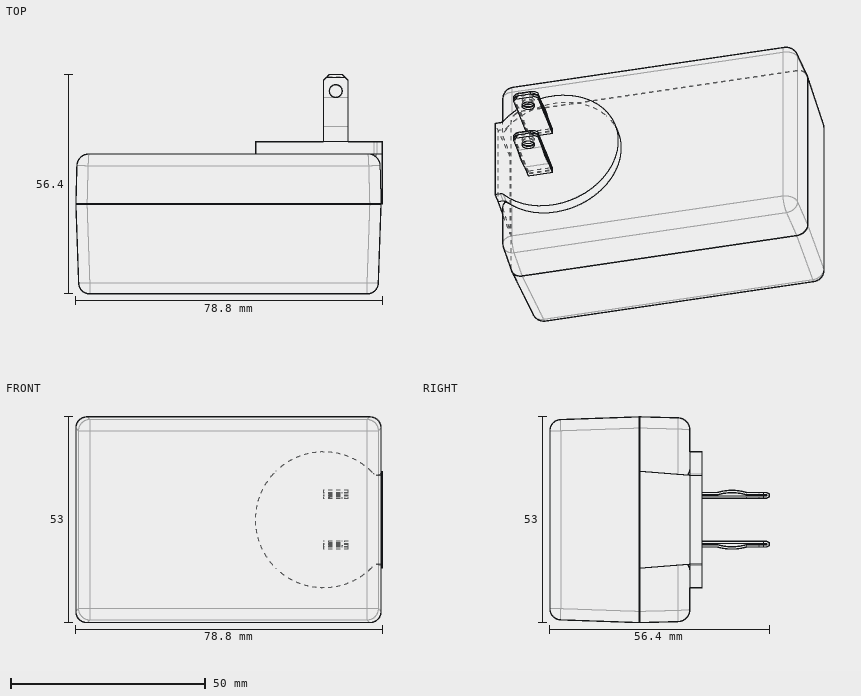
import cadquery as cq
import math


CASE_WIDTH = 78.5
CASE_HEIGHT = 52.95
BACK_DEPTH = 12.85
FRONT_DEPTH = 23.0
SEAM_GAP = 0.15
FRONT_DRAFT = 2.0
BACK_DRAFT = 1.5
SIDE_FILLET = 2.9
FRONT_FILLET = 2.9
BACK_FILLET = 3.15

PLATE_CENTER_X = 24.4
PLATE_RADIUS = 17.5
PLATE_THICKNESS = 3.15
TAB_HALF_HEIGHT = 11.4
TAB_OVERHANG = 0.3
TAB_END_X = CASE_WIDTH / 2 + TAB_OVERHANG
TAB_CORNER_RADIUS = 1.1
PLATE_FACE_Y = BACK_DEPTH + PLATE_THICKNESS

PAD_SEAM_HALF_HEIGHT = 12.45

PRONG_CENTER_X = 27.6
PRONG_SPACING = 12.5
PRONG_LENGTH = 17.25
PRONG_WIDTH = 6.4
PRONG_TIP_Y = PLATE_FACE_Y + PRONG_LENGTH
LEAF_THICKNESS = 0.67
LEAF_GAP = 0.2
FOLD_THICKNESS = 0.7
TIP_CORNER = 1.5
TIP_BEVEL_LENGTH = 0.8
TIP_BEVEL_DEPTH = 0.4
HOLE_DIAMETER = 3.2
HOLE_TO_TIP = 4.25
BULGE_START_Y = PLATE_FACE_Y + 3.95
BULGE_LENGTH = 7.4
BULGE_RISE = 0.55


def drafted_shell(start_y, depth, direction, draft, end_fillet):
    """Solid shell half narrowing away from its seam face; direction is +1 for +Y and -1 for -Y."""
    plane = cq.Plane(origin=(0, start_y, 0), xDir=(1, 0, 0), normal=(0, direction, 0))
    shell = cq.Workplane(plane).rect(CASE_WIDTH, CASE_HEIGHT).extrude(depth, taper=draft)
    end_face = ">Y" if direction > 0 else "<Y"
    seam_face = "<Y" if direction > 0 else ">Y"
    side_edges = shell.edges(f"not({end_face} or {seam_face})")
    return side_edges.fillet(SIDE_FILLET).faces(end_face).edges().fillet(end_fillet)


def plate_prism(start_y, length):
    """Disc-and-tab outline extruded along +Y, with the disc blended into the tab by concave corners."""
    plane = cq.Plane(origin=(0, start_y, 0), xDir=(1, 0, 0), normal=(0, 1, 0))
    blend_rise = TAB_HALF_HEIGHT + TAB_CORNER_RADIUS
    blend_run = math.sqrt((PLATE_RADIUS + TAB_CORNER_RADIUS) ** 2 - blend_rise ** 2)
    blend_end_x = PLATE_CENTER_X + blend_run
    touch_ratio = PLATE_RADIUS / (PLATE_RADIUS + TAB_CORNER_RADIUS)
    touch_x = PLATE_CENTER_X + blend_run * touch_ratio
    touch_z = blend_rise * touch_ratio
    return (
        cq.Workplane(plane)
        .moveTo(TAB_END_X, -TAB_HALF_HEIGHT)
        .lineTo(TAB_END_X, TAB_HALF_HEIGHT)
        .lineTo(blend_end_x, TAB_HALF_HEIGHT)
        .radiusArc((touch_x, touch_z), TAB_CORNER_RADIUS)
        .threePointArc((PLATE_CENTER_X - PLATE_RADIUS, 0), (touch_x, -touch_z))
        .radiusArc((blend_end_x, -TAB_HALF_HEIGHT), TAB_CORNER_RADIUS)
        .close()
        .extrude(length)
    )


def back_pad():
    """Plate outline carried forward to the seam, its +X end flaring in height on the way."""
    flare = (
        cq.Workplane("YZ", origin=(PLATE_CENTER_X, 0, 0))
        .moveTo(0, -PAD_SEAM_HALF_HEIGHT)
        .lineTo(BACK_DEPTH, -TAB_HALF_HEIGHT)
        .lineTo(BACK_DEPTH, TAB_HALF_HEIGHT)
        .lineTo(0, PAD_SEAM_HALF_HEIGHT)
        .close()
        .extrude(TAB_END_X - PLATE_CENTER_X)
    )
    return plate_prism(0, BACK_DEPTH).union(flare)


def prong_blank():
    """Folded strip centered on z = 0: a bulged leaf above the gap and a flat leaf below it."""
    inner_z = LEAF_GAP / 2
    outer_z = inner_z + LEAF_THICKNESS
    tip_z = outer_z - TIP_BEVEL_DEPTH
    bevel_y = PRONG_TIP_Y - TIP_BEVEL_LENGTH
    gap_end_y = PRONG_TIP_Y - FOLD_THICKNESS
    bulge_end_y = BULGE_START_Y + BULGE_LENGTH
    bulge_middle_y = BULGE_START_Y + BULGE_LENGTH / 2
    return (
        cq.Workplane("YZ", origin=(PRONG_CENTER_X, 0, 0))
        .moveTo(PLATE_FACE_Y, -outer_z)
        .lineTo(bevel_y, -outer_z)
        .lineTo(PRONG_TIP_Y, -tip_z)
        .lineTo(PRONG_TIP_Y, tip_z)
        .lineTo(bevel_y, outer_z)
        .lineTo(bulge_end_y, outer_z)
        .threePointArc((bulge_middle_y, outer_z + BULGE_RISE), (BULGE_START_Y, outer_z))
        .lineTo(PLATE_FACE_Y, outer_z)
        .lineTo(PLATE_FACE_Y, inner_z)
        .lineTo(BULGE_START_Y, inner_z)
        .threePointArc((bulge_middle_y, inner_z + BULGE_RISE), (bulge_end_y, inner_z))
        .lineTo(gap_end_y, inner_z)
        .lineTo(gap_end_y, -inner_z)
        .lineTo(PLATE_FACE_Y, -inner_z)
        .close()
        .extrude(PRONG_WIDTH / 2, both=True)
    )


def upward_prong():
    """Prong with its bulge toward +Z, its tip corners cut off and its round hole drilled."""
    prong = prong_blank()
    for side in (-1, 1):
        edge_x = PRONG_CENTER_X + side * PRONG_WIDTH / 2
        corner = (
            cq.Workplane("XY")
            .moveTo(edge_x, PRONG_TIP_Y)
            .lineTo(edge_x - side * TIP_CORNER, PRONG_TIP_Y)
            .lineTo(edge_x, PRONG_TIP_Y - TIP_CORNER)
            .close()
            .extrude(PRONG_SPACING / 2, both=True)
        )
        prong = prong.cut(corner)
    hole = (
        cq.Workplane("XY")
        .center(PRONG_CENTER_X, PRONG_TIP_Y - HOLE_TO_TIP)
        .circle(HOLE_DIAMETER / 2)
        .extrude(PRONG_SPACING / 2, both=True)
    )
    return prong.cut(hole)


front_shell = drafted_shell(-SEAM_GAP, FRONT_DEPTH, -1, FRONT_DRAFT, FRONT_FILLET)

back_shell = drafted_shell(0, BACK_DEPTH, 1, BACK_DRAFT, BACK_FILLET).union(back_pad())

plug_plate = plate_prism(BACK_DEPTH, PLATE_THICKNESS)

prongs = []
for side in (-1, 1):
    prong = upward_prong()
    if side < 0:
        prong = prong.mirror("XY")
    prong = prong.translate((0, 0, side * PRONG_SPACING / 2))
    prongs.append(prong.val())

result = cq.Compound.makeCompound([front_shell.val(), back_shell.val(), plug_plate.val(), *prongs])